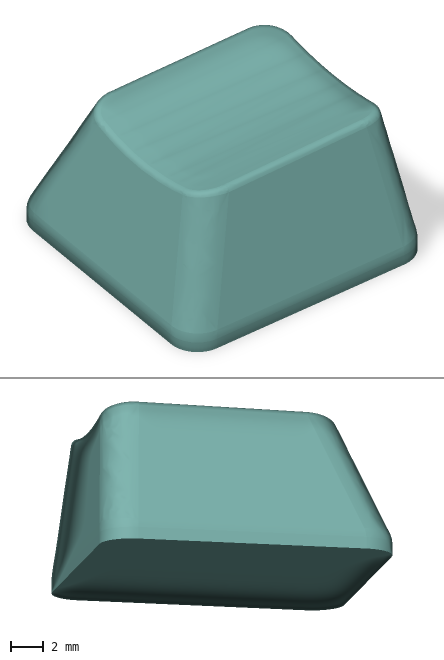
import cadquery as cq
import math

base_size = 18.16
corner_radius = 2.0
skirt_top = 0.73
wall_foot = 1.3

side_lean = 20.5
front_lean = 21.5
back_lean = 4.7
blank_height = 10.53

dish_radius = 21.61
dish_floor = 8.37
dish_tilt = 1.2
rim_radius = 0.44


def wall_inset(lean, height):
    """Return how far a wall has moved in from the skirt at a given height."""
    angle = math.radians(lean)
    arc_radius = (wall_foot - skirt_top) / math.sin(angle)
    if height <= wall_foot:
        return arc_radius - math.sqrt(arc_radius**2 - (height - skirt_top) ** 2)
    return arc_radius * (1 - math.cos(angle)) + (height - wall_foot) * math.tan(angle)


def section(height):
    """Return the rounded outline of the body at a given height."""
    side = wall_inset(side_lean, height)
    front = wall_inset(front_lean, height)
    back = wall_inset(back_lean, height)
    outline = cq.Sketch().rect(base_size - 2 * side, base_size - front - back)
    outline = outline.vertices().fillet(corner_radius)
    return outline.moved(cq.Location(cq.Vector(0, (front - back) / 2, height)))


def make_body():
    skirt = (
        cq.Workplane("XY")
        .rect(base_size, base_size)
        .extrude(skirt_top)
        .edges("|Z")
        .fillet(corner_radius)
    )
    shoulder_middle = (skirt_top + wall_foot) / 2
    shoulder_sections = [section(z) for z in (skirt_top, shoulder_middle, wall_foot)]
    shoulder = cq.Workplane("XY").placeSketch(*shoulder_sections).loft()
    walls = cq.Workplane("XY").placeSketch(section(wall_foot), section(blank_height)).loft(ruled=True)
    return skirt.union(shoulder).union(walls)


def make_dish_cutter():
    cylinder = (
        cq.Workplane("XZ")
        .center(0, dish_floor + dish_radius)
        .circle(dish_radius)
        .extrude(base_size, both=True)
    )
    return cylinder.rotate((0, 0, dish_floor), (1, 0, dish_floor), dish_tilt)


dished = make_body().cut(make_dish_cutter())
rim_face = dished.faces(cq.selectors.NearestToPointSelector((0, 0, dish_floor)))
result = rim_face.edges().fillet(rim_radius)